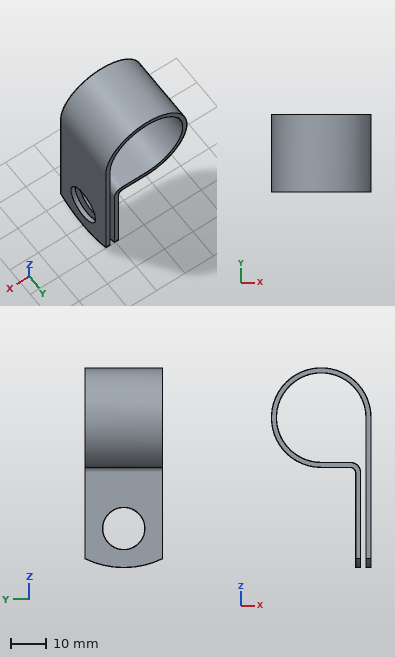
import cadquery as cq
import math

height = 57.05
loop_diameter = 28.5
strap_width = 22.25
thickness = 1.5
leg_gap = 1.5
bend_inner_radius = 1.5
hole_diameter = 12.0
hole_height = 11.2
tip_rise = 2.55

outer_radius = loop_diameter / 2
inner_radius = outer_radius - thickness
bend_outer_radius = bend_inner_radius + thickness
bottom_z = outer_radius - height
short_leg_outer_x = inner_radius - leg_gap
short_leg_inner_x = short_leg_outer_x - thickness
bend_x = short_leg_outer_x - bend_outer_radius
bend_z = -inner_radius - bend_outer_radius
diagonal = math.sqrt(0.5)


def make_strap():
    """Bent strip: long leg, three-quarter loop, shelf and short leg."""
    return (
        cq.Workplane("XZ")
        .moveTo(outer_radius, bottom_z)
        .lineTo(outer_radius, 0)
        .threePointArc((-outer_radius * diagonal, outer_radius * diagonal), (0, -outer_radius))
        .lineTo(bend_x, -outer_radius)
        .threePointArc(
            (bend_x + bend_inner_radius * diagonal, bend_z + bend_inner_radius * diagonal),
            (short_leg_inner_x, bend_z),
        )
        .lineTo(short_leg_inner_x, bottom_z)
        .lineTo(short_leg_outer_x, bottom_z)
        .lineTo(short_leg_outer_x, bend_z)
        .threePointArc(
            (bend_x + bend_outer_radius * diagonal, bend_z + bend_outer_radius * diagonal),
            (bend_x, -inner_radius),
        )
        .lineTo(0, -inner_radius)
        .threePointArc((-inner_radius * diagonal, inner_radius * diagonal), (inner_radius, 0))
        .lineTo(inner_radius, bottom_z)
        .close()
        .extrude(strap_width / 2, both=True)
    )


def make_side_outline():
    """Straight-sided envelope with a convex arc across the leg ends."""
    half_width = strap_width / 2
    return (
        cq.Workplane("YZ")
        .moveTo(-half_width, outer_radius)
        .lineTo(-half_width, bottom_z + tip_rise)
        .threePointArc((0, bottom_z), (half_width, bottom_z + tip_rise))
        .lineTo(half_width, outer_radius)
        .close()
        .extrude(outer_radius, both=True)
    )


def make_bolt_hole():
    """Cylinder that passes through both legs."""
    return (
        cq.Workplane("YZ")
        .center(0, bottom_z + hole_height)
        .circle(hole_diameter / 2)
        .extrude(outer_radius, both=True)
    )


result = make_strap().intersect(make_side_outline()).cut(make_bolt_hole())